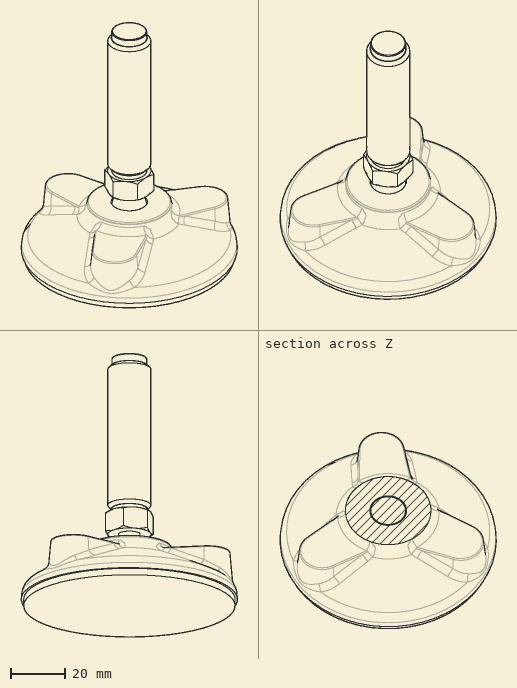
import cadquery as cq
import math

PAD_RADIUS = 78.2 / 2
PAD_HEIGHT = 2.5
RIM_RADIUS = 40.0
DRAFT = 5.0
CONE_SLOPE = 25.6
CONE_REF_RADIUS = 37.5
CONE_REF_HEIGHT = 7.9
SHOULDER_FILLET = 4.0
HUB_RADIUS = 15.6
HUB_TOP = 22.6
HUB_FILLET = 6.5
HUB_EDGE_FILLET = 0.5

RIB_COUNT = 3
RIB_FIRST_ANGLE = 90.0
RIB_TOP = 18.6
RIB_BOTTOM = 5.0
RIB_TIP_REACH = 38.1
RIB_TIP_RADIUS = 8.4
RIB_FLARE = 6.0
RIB_ROOT = 8.0
RIB_FOOT_FILLET = 3.0
RIB_EDGE_FILLET = 0.5

HUB_REACH = 20.0
TOLERANCE = 0.01

STUD_TOP = 95.78
BALL_RADIUS = 13.0 / 2
BALL_CENTER = 20.65
SOCKET_RADIUS = 13.38 / 2
NECK_RADIUS = 8.06 / 2
HEX_BOTTOM = 27.7
HEX_HEIGHT = 8.2
HEX_SIDES = 6
HEX_FLATS = 16.0
HEX_BEVEL = 30.0
COLLAR_RADIUS = 13.0 / 2
THREAD_RADIUS = 16.0 / 2
THREAD_ROOT_RADIUS = 13.38 / 2
THREAD_BOTTOM = 37.6
THREAD_TOP = 92.9
TIP_CHAMFER = 0.3


def round_corner(before, corner, after, radius):
    """Start, middle and end of the arc that rounds a corner between two straight lines."""
    corner = cq.Vector(*corner)
    to_before = (cq.Vector(*before) - corner).normalized()
    to_after = (cq.Vector(*after) - corner).normalized()
    half_angle = to_before.getAngle(to_after) / 2
    setback = radius / math.tan(half_angle)
    bisector = (to_before + to_after).normalized()
    middle = corner + bisector * (radius / math.sin(half_angle) - radius)
    points = (corner + to_before * setback, middle, corner + to_after * setback)
    return [(p.x, p.y) for p in points]


def make_plate():
    draft = math.tan(math.radians(DRAFT))
    slope = math.tan(math.radians(CONE_SLOPE))
    cone_apex = CONE_REF_HEIGHT + slope * CONE_REF_RADIUS

    def wall_meets_cone(radius, height):
        r = (height + radius / draft - cone_apex) / (1 / draft - slope)
        return r, cone_apex - slope * r

    rim = (RIM_RADIUS, PAD_HEIGHT)
    shoulder = wall_meets_cone(*rim)
    hub_edge = (HUB_RADIUS, HUB_TOP)
    hub_foot = wall_meets_cone(*hub_edge)
    hub_center = (0, HUB_TOP)

    shoulder_arc = round_corner(rim, shoulder, hub_foot, SHOULDER_FILLET)
    hub_arc = round_corner(shoulder, hub_foot, hub_edge, HUB_FILLET)
    edge_arc = round_corner(hub_foot, hub_edge, hub_center, HUB_EDGE_FILLET)
    outline = (
        cq.Workplane("XZ")
        .lineTo(PAD_RADIUS, 0)
        .lineTo(PAD_RADIUS, PAD_HEIGHT)
        .lineTo(*rim)
    )
    for start, middle, end in (shoulder_arc, hub_arc, edge_arc):
        outline = outline.lineTo(*start).threePointArc(middle, end)
    plate = outline.lineTo(*hub_center).close().revolve(360, (0, 0), (0, 1))
    return plate.rotate((0, 0, 0), (0, 0, 1), -RIB_FIRST_ANGLE)


def make_rib():
    flare = math.radians(RIB_FLARE)
    arc_center = RIB_TIP_REACH - RIB_TIP_RADIUS
    arc_end_x = arc_center + RIB_TIP_RADIUS * math.sin(flare)
    arc_end_y = RIB_TIP_RADIUS * math.cos(flare)
    root_y = arc_end_y + (arc_end_x - RIB_ROOT) * math.tan(flare)
    plane = cq.Plane(origin=(0, 0, RIB_TOP), xDir=(1, 0, 0), normal=(0, 0, -1))
    return (
        cq.Workplane(plane)
        .moveTo(RIB_ROOT, -root_y)
        .lineTo(arc_end_x, -arc_end_y)
        .threePointArc((RIB_TIP_REACH, 0), (arc_end_x, arc_end_y))
        .lineTo(RIB_ROOT, root_y)
        .close()
        .extrude(RIB_TOP - RIB_BOTTOM, taper=-DRAFT)
    )


def is_at_rib_top(edge):
    return all(abs(vertex.Z - RIB_TOP) < TOLERANCE for vertex in edge.Vertices())


def near_hub(edge):
    vertex = edge.Vertices()[0]
    return math.hypot(vertex.X, vertex.Y) < HUB_REACH


def joins_hub(edge):
    return edge.geomType() == "CIRCLE" and is_at_rib_top(edge) and near_hub(edge)


def rims_rib_top(edge):
    return is_at_rib_top(edge) and not joins_hub(edge)


def fillet_where(body, wanted, radius):
    edges = [edge for edge in body.edges().vals() if wanted(edge)]
    return body.newObject(edges).fillet(radius)


def make_foot():
    foot = make_plate()
    rib = make_rib()
    for i in range(RIB_COUNT):
        angle = RIB_FIRST_ANGLE + i * 360 / RIB_COUNT
        foot = foot.union(rib.rotate((0, 0, 0), (0, 0, 1), angle))
    foot = fillet_where(foot, rims_rib_top, RIB_EDGE_FILLET)
    return fillet_where(foot, joins_hub, RIB_FOOT_FILLET)


def make_hexagon():
    across_corners = HEX_FLATS / math.cos(math.pi / HEX_SIDES)
    bevel_width = (across_corners - HEX_FLATS) / 2
    bevel_depth = bevel_width * math.tan(math.radians(HEX_BEVEL))
    prism = (
        cq.Workplane("XY", origin=(0, 0, HEX_BOTTOM))
        .polygon(HEX_SIDES, across_corners)
        .extrude(HEX_HEIGHT)
    )
    beveled_disc = (
        cq.Workplane("XY", origin=(0, 0, HEX_BOTTOM))
        .circle(across_corners / 2)
        .extrude(HEX_HEIGHT)
        .faces("<Z or >Z")
        .chamfer(bevel_depth, bevel_width)
    )
    return prism.intersect(beveled_disc)


def make_stud():
    hex_middle = HEX_BOTTOM + HEX_HEIGHT / 2
    thread_chamfer = THREAD_RADIUS - THREAD_ROOT_RADIUS
    profile = [
        (0, BALL_CENTER),
        (NECK_RADIUS, BALL_CENTER),
        (NECK_RADIUS, hex_middle),
        (COLLAR_RADIUS, hex_middle),
        (COLLAR_RADIUS, THREAD_BOTTOM),
        (THREAD_ROOT_RADIUS, THREAD_BOTTOM),
        (THREAD_RADIUS, THREAD_BOTTOM + thread_chamfer),
        (THREAD_RADIUS, THREAD_TOP - thread_chamfer),
        (THREAD_ROOT_RADIUS, THREAD_TOP),
        (COLLAR_RADIUS, THREAD_TOP),
        (COLLAR_RADIUS, STUD_TOP - TIP_CHAMFER),
        (COLLAR_RADIUS - TIP_CHAMFER, STUD_TOP),
        (0, STUD_TOP),
    ]
    shank = cq.Workplane("XZ").polyline(profile).close().revolve(360, (0, 0), (0, 1))
    ball = cq.Workplane("XY", origin=(0, 0, BALL_CENTER)).sphere(BALL_RADIUS)
    return shank.union(ball).union(make_hexagon())


def make_socket():
    depth = HUB_TOP - BALL_CENTER
    return cq.Workplane("XY", origin=(0, 0, BALL_CENTER)).circle(SOCKET_RADIUS).extrude(depth)


result = make_foot().cut(make_socket()).union(make_stud())